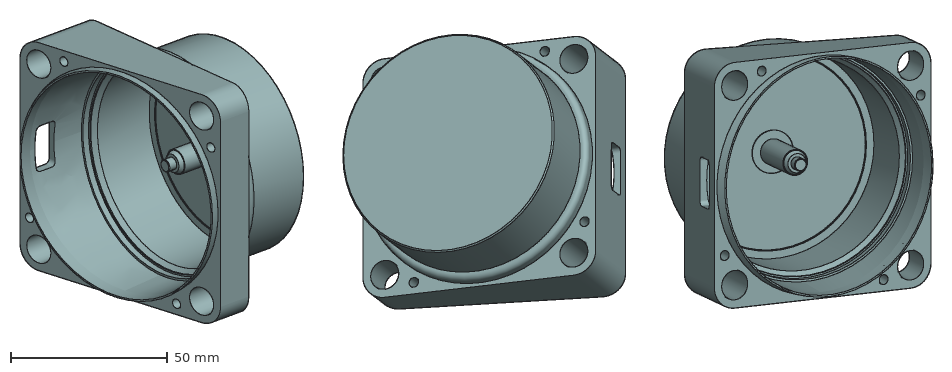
import cadquery as cq
import math


block_size = 80.0
corner_radius = 7.5
slant_angle = 10.0
front_center_y = -19.3
collar_radius = 38.9
collar_length = 4.3
collar_fillet = 1.8
lip_base_radius = 39.0
lip_tip_radius = 39.0
lip_height = 2.9
lip_shift = 0.6
mouth_radius = 38.5
mouth_depth = 1.9
bore_radius = 37.7
seat_y = 0.9
mount_hole_offset = 32.5
mount_hole_radius = 4.8
pin_hole_near = 22.5
pin_hole_far = 36.2
pin_hole_radius = 1.6
slot_length = 16.0
slot_width = 8.2
slot_center_y = -17.8
slot_corner = 1.6

barrel_radius = 36.3
barrel_end_y = 27.4
barrel_chamfer = 0.5
cup_radius = 34.9
floor_y = 24.8
flange_front_y = -1.9
flange_inner_radius = 37.0
flange_step_y = 0.5
cone_front_radius = 36.4
cone_length = 2.0
groove_radius = 32.2
groove_width = 0.3
groove_depth = 0.2
hub_radius = 7.0
hub_height = 0.4
stem_radius = 4.2
stem_shoulder_radius = 3.9
stem_neck_radius = 3.1
stem_tip_radius = 2.1
stem_tip_chamfer = 0.2
stem_tip_y = 0.0
stem_shoulder_y = 4.8
stem_cone_length = 1.6

reach = 2 * block_size
slant = math.radians(slant_angle)
front_normal = cq.Vector(math.sin(slant), -math.cos(slant), 0)
lip_center = cq.Vector(lip_shift, front_center_y + lip_shift * math.tan(slant), 0)


def cylinder(radius, start_y, end_y):
    """Solid cylinder along Y."""
    return cq.Workplane("XZ", origin=(0, start_y, 0)).circle(radius).extrude(start_y - end_y)


def slanted_cylinder(radius, start, end):
    """Cylinder square to the slanted front, between two distances from the front face."""
    base = lip_center + front_normal * start
    return cq.Workplane(cq.Solid.makeCylinder(radius, end - start, base, front_normal))


def ring_profile(points):
    """Solid of revolution about Y from (radius, y) points."""
    return cq.Workplane("XY").polyline(points).close().revolve(360, (0, 0, 0), (0, 1, 0))


def make_block():
    block = (
        cq.Workplane("XZ")
        .rect(block_size, block_size)
        .extrude(block_size)
        .edges("|Y")
        .fillet(corner_radius)
    )
    front_plane = cq.Plane(origin=lip_center, xDir=(0, 0, 1), normal=front_normal)
    removed = cq.Workplane(front_plane).rect(reach, reach).extrude(reach)
    return block.cut(removed)


def make_bore():
    """Slanted mouth blending into the round bore, with the barrel opening behind it."""
    mouth = slanted_cylinder(mouth_radius, -mouth_depth, lip_height)
    mouth_floor = lip_center - front_normal * mouth_depth
    mouth_circle = cq.Wire.makeCircle(mouth_radius, mouth_floor, front_normal)
    flange_circle = cq.Wire.makeCircle(
        bore_radius, cq.Vector(0, flange_front_y, 0), cq.Vector(0, -1, 0)
    )
    blend = cq.Workplane(cq.Solid.makeLoft([mouth_circle, flange_circle]))
    seat = cylinder(bore_radius, flange_front_y, seat_y)
    opening = cylinder(barrel_radius, seat_y, collar_length)
    return mouth.union(blend).union(seat).union(opening)


def make_holes():
    """Four mounting holes at the corners and four pin holes a quarter turn apart."""
    mount_points = [(sx * mount_hole_offset, sz * mount_hole_offset) for sx in (-1, 1) for sz in (-1, 1)]
    pin_points = [
        (-pin_hole_near, pin_hole_far),
        (pin_hole_far, pin_hole_near),
        (pin_hole_near, -pin_hole_far),
        (-pin_hole_far, -pin_hole_near),
    ]
    mounts = cq.Workplane("XZ").pushPoints(mount_points).circle(mount_hole_radius).extrude(block_size)
    pins = cq.Workplane("XZ").pushPoints(pin_points).circle(pin_hole_radius).extrude(block_size)
    return mounts.union(pins)


def make_slot():
    """Rounded window through the -X wall only."""
    return (
        cq.Workplane("YZ", origin=(-block_size / 2, slot_center_y, 0))
        .rect(slot_width, slot_length)
        .extrude(block_size / 2)
        .edges("|X")
        .fillet(slot_corner)
    )


def make_lip():
    """Thin rim blending from a straight round outline on the front face to a tilted circular tip."""
    base = cq.Wire.makeEllipse(
        lip_base_radius / math.cos(slant),
        lip_base_radius,
        cq.Vector(0, front_center_y, 0),
        front_normal,
        cq.Vector(math.cos(slant), math.sin(slant), 0),
    )
    tip = cq.Wire.assembleEdges([
        cq.Edge.makeEllipse(
            lip_tip_radius,
            lip_tip_radius,
            lip_center + front_normal * lip_height,
            front_normal,
            xdir=cq.Vector(math.cos(slant), math.sin(slant), 0),
        )
    ])
    return cq.Workplane(cq.Solid.makeLoft([base, tip]))


def make_housing():
    collar = cylinder(collar_radius, 0, collar_length).faces(">Y").edges().fillet(collar_fillet)
    body = make_block().union(collar).union(make_lip())
    return body.cut(make_bore()).cut(make_holes()).cut(make_slot())


def make_stem():
    """Stepped central stem standing on a low hub."""
    hub_y = floor_y - hub_height
    return ring_profile([
        (0, floor_y),
        (hub_radius, floor_y),
        (hub_radius, hub_y),
        (stem_radius, hub_y),
        (stem_radius, stem_shoulder_y),
        (stem_shoulder_radius, stem_shoulder_y),
        (stem_neck_radius, stem_shoulder_y - stem_cone_length),
        (stem_tip_radius, stem_shoulder_y - stem_cone_length),
        (stem_tip_radius, stem_tip_y + stem_tip_chamfer),
        (stem_tip_radius - stem_tip_chamfer, stem_tip_y),
        (0, stem_tip_y),
    ])


def make_cup():
    shell = ring_profile([
        (0, barrel_end_y),
        (barrel_radius - barrel_chamfer, barrel_end_y),
        (barrel_radius, barrel_end_y - barrel_chamfer),
        (barrel_radius, seat_y),
        (bore_radius, seat_y),
        (bore_radius, flange_front_y),
        (flange_inner_radius, flange_front_y),
        (flange_inner_radius, flange_step_y),
        (cone_front_radius, flange_step_y),
        (cup_radius, flange_step_y + cone_length),
        (cup_radius, floor_y),
        (0, floor_y),
    ])
    groove_end_y = floor_y + groove_depth
    groove = cylinder(groove_radius + groove_width / 2, floor_y, groove_end_y).cut(
        cylinder(groove_radius - groove_width / 2, floor_y, groove_end_y)
    )
    return shell.cut(groove).union(make_stem())


housing = make_housing()
cup = make_cup()

result = cq.Compound.makeCompound([housing.val(), cup.val()])